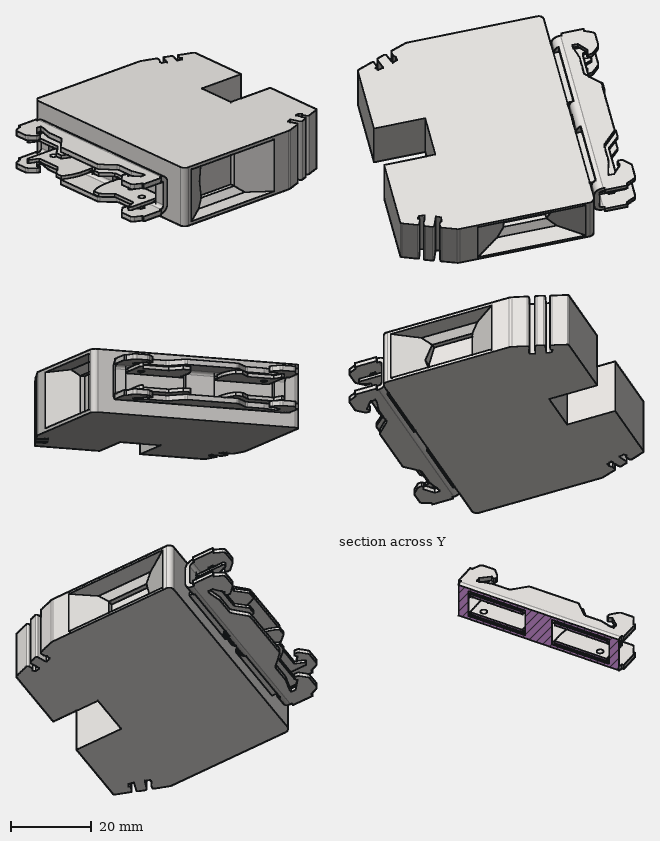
import cadquery as cq


TOTAL_LENGTH = 60.3

HOUSING_WIDTH = 56.0
HOUSING_LENGTH = 48.5
HOUSING_THICKNESS = 16.0
HOUSING_CORNER_RADIUS = 1.4
TOOTH_RADIUS = 0.5
TOP_SLOT_WIDTH = 10.9
TOP_SLOT_FLOOR_Y = 35.4
SHOULDER_Y = 34.9
SHOULDER_RADIUS = 2.05

FUNNEL_HALF_HEIGHT = 7.05
FUNNEL_MOUTH_Y = (2.4, 29.9)
FUNNEL_FLOOR_Y = (11.0, 21.9)
FUNNEL_DEPTH = 6.0
FUNNEL_TAPER_DEPTH = 4.45
RECESS_HALF_HEIGHT = 5.25
RECESS_POINT_Y = 9.5
RECESS_EXTRA_DEPTH = 1.2

FOOT_END_Y = HOUSING_LENGTH - TOTAL_LENGTH
FOOT_WEB_Y = -1.0
FOOT_WIDTH = 45.8
FOOT_HEIGHT = 10.2
SHEET = 1.3
BEND_RADIUS = 2.25
FOOT_CORNER_RADIUS = 0.9
FLANGE_STEP = 0.6
FLANGE_STEP_Y = (-9.35, -3.6)
WINDOW_X = (3.85, 20.0)
WINDOW_BOTTOM_Y = -2.1

PLATE_Z = (2.35, 3.25)
PLATE_OUTER_X = 19.5
PLATE_INNER_X = 4.6
PLATE_END_Y = -10.55
ARM_Y = -0.4
ARM_RADIUS = 0.4
DIMPLE_X = 16.6
DIMPLE_Y = -3.9
DIMPLE_RADIUS = 0.85
DIMPLE_HEIGHT = 0.35

SCREW_RADIUS = 2.4
RIB_WIDTH = 2.3
RIB_END_RADIUS = 0.55


def both_sides(solid):
    """Join a solid with its mirror image across X = 0."""
    return solid.union(solid.mirror("YZ"))


def mirrored_plate(half_points, bottom_z, thickness):
    """Plate whose right half outline starts and ends on X = 0."""
    left_points = [(-x, y) for x, y in reversed(half_points) if x > 0]
    outline = cq.Workplane("XY", origin=(0, 0, bottom_z)).polyline(half_points + left_points)
    return outline.close().extrude(thickness)


def round_corners(body, corners, radius):
    """Round the upright edges at the given corners and at their mirror images."""
    for x, y in corners:
        for side in (-1, 1):
            body = body.edges(cq.NearestToPointSelector((side * x, y, 0))).fillet(radius)
    return body


def make_housing():
    half_width = HOUSING_WIDTH / 2
    slot_side = TOP_SLOT_WIDTH / 2
    top_corner = (23.0, HOUSING_LENGTH)
    upper_tooth = (24.6, 44.1)
    middle_tooth = (25.1, 43.1)
    middle_tooth_foot = (26.0, 40.65)
    lower_tooth = (26.5, 39.2)
    half_outline = [
        (0, TOP_SLOT_FLOOR_Y),
        (slot_side, TOP_SLOT_FLOOR_Y),
        (slot_side, HOUSING_LENGTH),
        top_corner,
        upper_tooth,
        (22.9, 43.55), (22.55, 44.0), (21.9, 43.4), (22.2, 42.1),
        middle_tooth,
        middle_tooth_foot,
        (23.1, 39.5), (23.65, 38.25), (24.55, 38.35), (25.2, 38.95),
        lower_tooth,
        (half_width, SHOULDER_Y),
        (half_width, 0),
        (0, 0),
    ]
    body = mirrored_plate(half_outline, -HOUSING_THICKNESS / 2, HOUSING_THICKNESS)
    body = round_corners(body, [(half_width, 0)], HOUSING_CORNER_RADIUS)
    body = round_corners(body, [(half_width, SHOULDER_Y)], SHOULDER_RADIUS)
    teeth = [top_corner, upper_tooth, middle_tooth, middle_tooth_foot, lower_tooth]
    return round_corners(body, teeth, TOOTH_RADIUS)


def make_funnel():
    """Cutter for the funnel in the +X side face."""
    face_x = HOUSING_WIDTH / 2
    floor_x = face_x - FUNNEL_DEPTH
    taper_x = face_x - FUNNEL_TAPER_DEPTH
    plan = [
        (face_x, FUNNEL_MOUTH_Y[0]),
        (floor_x, FUNNEL_FLOOR_Y[0]),
        (floor_x, FUNNEL_FLOOR_Y[1]),
        (face_x, FUNNEL_MOUTH_Y[1]),
    ]
    plan_prism = (
        cq.Workplane("XY", origin=(0, 0, -FUNNEL_HALF_HEIGHT))
        .polyline(plan).close().extrude(2 * FUNNEL_HALF_HEIGHT)
    )
    section = [
        (face_x, -FUNNEL_HALF_HEIGHT),
        (taper_x, -FUNNEL_HALF_HEIGHT),
        (floor_x, -RECESS_HALF_HEIGHT),
        (floor_x, RECESS_HALF_HEIGHT),
        (taper_x, FUNNEL_HALF_HEIGHT),
        (face_x, FUNNEL_HALF_HEIGHT),
    ]
    section_prism = (
        cq.Workplane("XZ").polyline(section).close().extrude(-HOUSING_LENGTH)
    )
    recess_outline = [
        (FUNNEL_FLOOR_Y[1], -RECESS_HALF_HEIGHT),
        (FUNNEL_FLOOR_Y[1], RECESS_HALF_HEIGHT),
        (FUNNEL_FLOOR_Y[0], RECESS_HALF_HEIGHT),
        (RECESS_POINT_Y, 0),
        (FUNNEL_FLOOR_Y[0], -RECESS_HALF_HEIGHT),
    ]
    recess = (
        cq.Workplane("YZ", origin=(floor_x - RECESS_EXTRA_DEPTH, 0, 0))
        .polyline(recess_outline).close().extrude(FUNNEL_DEPTH)
    )
    return plan_prism.intersect(section_prism).union(recess)


def make_foot():
    web_half = FOOT_WIDTH / 2
    flange_half = web_half + FLANGE_STEP
    hook_heel = (21.75, FOOT_END_Y)
    hook_toe = (17.85, FOOT_END_Y)
    hook_tip = (15.9, -9.75)
    tongue_root = (10.6, -6.45)
    tongue_end = (7.05, -10.0)
    flange_outline = [
        (0, FOOT_WEB_Y),
        (web_half, FOOT_WEB_Y),
        (web_half, FLANGE_STEP_Y[1]),
        (flange_half, FLANGE_STEP_Y[1]),
        (flange_half, FLANGE_STEP_Y[0]),
        (web_half, FLANGE_STEP_Y[0]),
        hook_heel, hook_toe, hook_tip,
        (15.9, -8.8), (16.35, -8.45), (17.2, -8.9), (19.55, -6.9), (19.55, -5.55),
        (18.7, -5.55), (15.5, -6.45),
        tongue_root, tongue_end, (0, tongue_end[1]),
    ]
    silhouette = mirrored_plate(flange_outline, -FOOT_HEIGHT / 2, FOOT_HEIGHT)
    rounded = [hook_heel, hook_toe, hook_tip, tongue_root, tongue_end]
    silhouette = round_corners(silhouette, rounded, FOOT_CORNER_RADIUS)

    length = FOOT_WEB_Y - FOOT_END_Y
    middle_y = (FOOT_WEB_Y + FOOT_END_Y) / 2
    outer = (
        cq.Workplane("XY").box(2 * flange_half, length, FOOT_HEIGHT)
        .translate((0, middle_y, 0)).edges("|X and >Y").fillet(BEND_RADIUS)
    )
    inner = (
        cq.Workplane("XY").box(2 * flange_half, length, FOOT_HEIGHT - 2 * SHEET)
        .translate((0, middle_y - SHEET, 0)).edges("|X and >Y").fillet(BEND_RADIUS - SHEET)
    )
    foot = silhouette.intersect(outer.cut(inner))

    window_width = WINDOW_X[1] - WINDOW_X[0]
    window = (
        cq.Workplane("XY")
        .box(window_width, -WINDOW_BOTTOM_Y, FOOT_HEIGHT)
        .translate((sum(WINDOW_X) / 2, WINDOW_BOTTOM_Y / 2, 0))
    )
    slit = (
        cq.Workplane("XY")
        .box(window_width, SHEET, FOOT_HEIGHT - 2 * SHEET)
        .translate((sum(WINDOW_X) / 2, FOOT_WEB_Y - SHEET / 2, 0))
    )
    return foot.cut(both_sides(window.union(slit)))


def make_upper_plates():
    """Left and right plates above the mid plane; a thin arm of each reaches to the screw head."""
    hump_x = (6.1, 8.0)
    ledge_y = -7.65
    half = (
        cq.Workplane("XY", origin=(0, 0, PLATE_Z[0]))
        .moveTo(SCREW_RADIUS, 0)
        .lineTo(PLATE_OUTER_X, 0)
        .lineTo(PLATE_OUTER_X, -9.5)
        .threePointArc((19.3, -10.15), (18.7, -10.25))
        .lineTo(17.6, ledge_y)
        .lineTo(10.7, ledge_y)
        .lineTo(hump_x[1], PLATE_END_Y)
        .lineTo(hump_x[0], PLATE_END_Y)
        .threePointArc((5.05, -8.1), (PLATE_INNER_X, -5.4))
        .lineTo(PLATE_INNER_X, ARM_Y - ARM_RADIUS)
        .radiusArc((PLATE_INNER_X - ARM_RADIUS, ARM_Y), ARM_RADIUS)
        .lineTo(SCREW_RADIUS, ARM_Y)
        .close()
        .extrude(PLATE_Z[1] - PLATE_Z[0])
    )
    dimple = cq.Workplane(
        cq.Solid.makeCone(
            DIMPLE_RADIUS, 0, DIMPLE_HEIGHT,
            cq.Vector(DIMPLE_X, DIMPLE_Y, PLATE_Z[0]), cq.Vector(0, 0, -1),
        )
    )
    return both_sides(half.union(dimple))


def make_screw():
    """Screw head between the housing and the foot, with the rib of the web that crosses it."""
    head = cq.Workplane("XZ").circle(SCREW_RADIUS).extrude(-FOOT_WEB_Y)
    flat_web_height = FOOT_HEIGHT - 2 * BEND_RADIUS
    rib = (
        cq.Workplane("XZ", origin=(0, ARM_Y, 0))
        .rect(RIB_WIDTH, flat_web_height).extrude(ARM_Y - FOOT_WEB_Y)
        .edges("|X and >Y").fillet(RIB_END_RADIUS)
    )
    return head.union(rib)


upper_plates = make_upper_plates()
lower_plates = upper_plates.mirror("XY")

result = (
    make_housing()
    .cut(both_sides(make_funnel()))
    .union(make_screw())
    .union(make_foot())
    .union(upper_plates)
    .union(lower_plates)
)